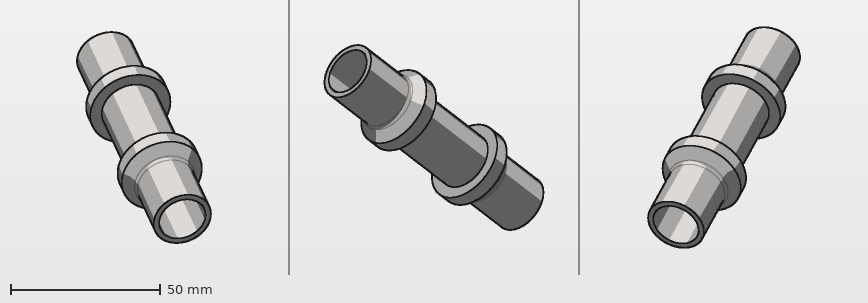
import cadquery as cq
import math

length = 93.0
tube_radius = 20.0 / 2
bore_radius = 16.2 / 2
collar_radius = 28.0 / 2
spigot_length = 20.0
collar_inner_face = 30.0
fillet_radius = 2.0
cone_angle = math.radians(45)

fillet_end_x = spigot_length + fillet_radius * math.sin(cone_angle)
fillet_end_r = tube_radius + fillet_radius * (1 - math.cos(cone_angle))
fillet_mid_x = spigot_length + fillet_radius * math.sin(cone_angle / 2)
fillet_mid_r = tube_radius + fillet_radius * (1 - math.cos(cone_angle / 2))
cone_end_x = fillet_end_x + (collar_radius - fillet_end_r) / math.tan(cone_angle)


def make_collar():
    """Collar near the -X end: filleted cone, rim and flat inner face."""
    profile = (
        cq.Workplane("XY")
        .moveTo(spigot_length, bore_radius)
        .lineTo(spigot_length, tube_radius)
        .threePointArc((fillet_mid_x, fillet_mid_r), (fillet_end_x, fillet_end_r))
        .lineTo(cone_end_x, collar_radius)
        .lineTo(collar_inner_face, collar_radius)
        .lineTo(collar_inner_face, bore_radius)
        .close()
    )
    collar = profile.revolve(360, (0, 0, 0), (1, 0, 0))
    return collar.translate((-length / 2, 0, 0))


tube = (
    cq.Workplane("YZ", origin=(-length / 2, 0, 0))
    .circle(tube_radius)
    .circle(bore_radius)
    .extrude(length)
)
left_collar = make_collar()
right_collar = left_collar.mirror("YZ")

result = tube.union(left_collar).union(right_collar)